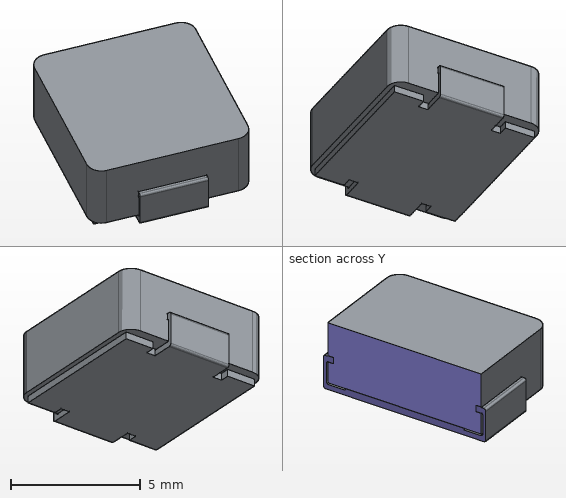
import cadquery as cq

housing_length = 7.1
housing_width = 6.6
housing_corner_radius = 0.6
overall_height = 3.0

plate_length = 6.3
plate_width = 6.18
plate_thickness = 0.3
notch_width = 3.6

overall_length = 7.52
terminal_width = 2.8
terminal_height = 1.505
wall_thickness = 0.15
arm_thickness = 0.25
bend_radius = 0.1
arm_insertion = 0.25

notch_depth = (notch_width - terminal_width) / 2
housing_height = overall_height - plate_thickness
terminal_outer_x = overall_length / 2
terminal_inner_x = terminal_outer_x - wall_thickness
upper_arm_end_x = housing_length / 2 - arm_insertion
lower_arm_end_x = plate_length / 2 - notch_depth


def make_plate():
    """Flat base plate with an open notch in the middle of both ends."""
    plate = cq.Workplane("XY").box(
        plate_length, plate_width, plate_thickness, centered=(True, True, False)
    )
    notch_centers = [(side * (plate_length - notch_depth) / 2, 0) for side in (-1, 1)]
    notches = (
        cq.Workplane("XY")
        .pushPoints(notch_centers)
        .rect(notch_depth, notch_width)
        .extrude(plate_thickness)
    )
    return plate.cut(notches)


def make_terminal(side):
    """C-shaped terminal at the -X end (side = -1) or the +X end (side = 1)."""
    profile = [
        (lower_arm_end_x, 0),
        (terminal_outer_x, 0),
        (terminal_outer_x, terminal_height),
        (upper_arm_end_x, terminal_height),
        (upper_arm_end_x, terminal_height - arm_thickness),
        (terminal_inner_x, terminal_height - arm_thickness),
        (terminal_inner_x, arm_thickness),
        (lower_arm_end_x, arm_thickness),
    ]
    terminal = (
        cq.Workplane("XZ")
        .polyline([(side * x, z) for x, z in profile])
        .close()
        .extrude(terminal_width / 2, both=True)
    )
    bend_edges = cq.selectors.BoxSelector(
        (side * housing_length / 2, -terminal_width, -terminal_height),
        (side * overall_length, terminal_width, 2 * terminal_height),
    )
    return terminal.edges("|Y").edges(bend_edges).fillet(bend_radius)


def make_lead_frame():
    """Base plate and its two terminals as one piece."""
    frame = make_plate()
    for side in (-1, 1):
        frame = frame.union(make_terminal(side))
    return frame.solids()


def make_housing(frame):
    """Rounded block with pockets that match the upper terminal arms."""
    block = (
        cq.Workplane("XY")
        .workplane(offset=plate_thickness)
        .rect(housing_length, housing_width)
        .extrude(housing_height)
        .edges("|Z")
        .fillet(housing_corner_radius)
    )
    return block.cut(frame).solids()


lead_frame = make_lead_frame()
housing = make_housing(lead_frame)

result = cq.Compound.makeCompound([housing.val(), lead_frame.val()])